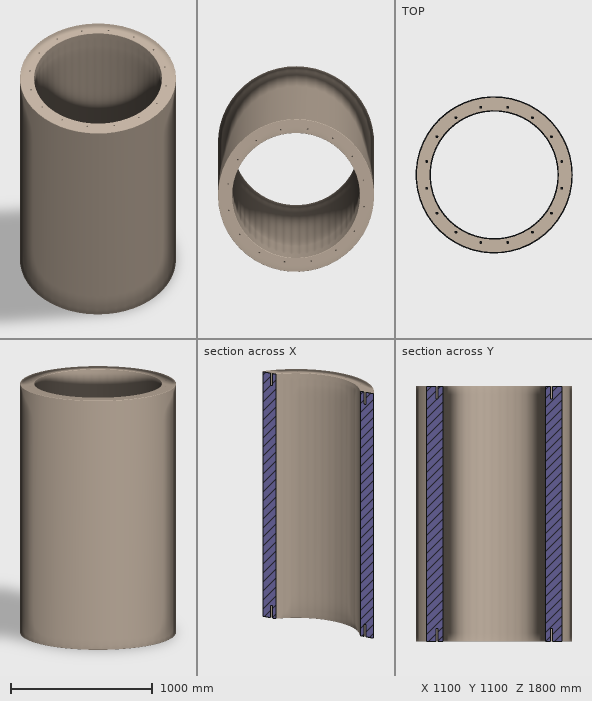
import cadquery as cq

height = 1800.0
outer_diameter = 1100.0
inner_diameter = 900.0
edge_chamfer = 2.0

hole_count = 16
hole_diameter = 12.0
hole_circle_diameter = 970.0
hole_depth = 90.0
hole_pitch = 360.0 / hole_count


def chamfered_tube():
    """Plain tube with every rim broken by a small chamfer."""
    tube = (
        cq.Workplane("XY")
        .circle(outer_diameter / 2)
        .circle(inner_diameter / 2)
        .extrude(height)
    )
    return tube.faces("<Z or >Z").edges().chamfer(edge_chamfer)


def drill_end_face(tube, face):
    """Drill blind holes in one end, straddling the X and Y axes."""
    return (
        tube.faces(face)
        .workplane(origin=(0, 0, 0))
        .polarArray(hole_circle_diameter / 2, hole_pitch / 2, 360, hole_count)
        .hole(hole_diameter, hole_depth)
    )


result = chamfered_tube()
for end_face in (">Z", "<Z"):
    result = drill_end_face(result, end_face)